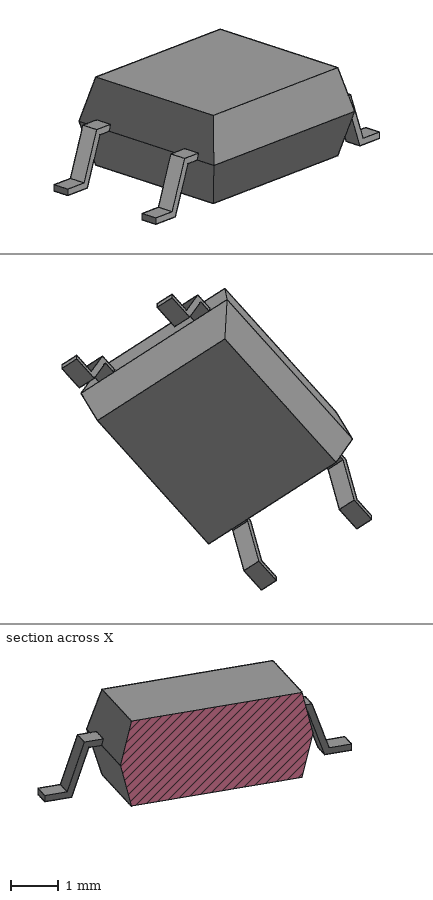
import cadquery as cq
import math

lead_span = 7.0
body_width = 3.9
body_length = 4.4
body_height = 2.0
standoff = 0.1
draft_inset = 0.25

lead_width = 0.4
lead_pitch = 2.54
lead_thickness = 0.15
foot_length = 0.51
shoulder_y = 2.6
lead_root_y = body_length / 2 - draft_inset

half_height = body_height / 2
parting_z = standoff + half_height
draft_angle = math.degrees(math.atan(draft_inset / half_height))


def body_half(direction):
    """Tapered half of the body, going up (1) or down (-1) from the parting line."""
    return (
        cq.Workplane("XY", origin=(0, 0, parting_z))
        .rect(body_width, body_length)
        .extrude(direction * half_height, taper=draft_angle)
    )


def lead(x_center):
    """Bent lead on the +Y side, with constant thickness through both bends."""
    tip_y = lead_span / 2
    shoulder_z = parting_z + lead_thickness
    ankle_y = tip_y - foot_length
    slope_angle = math.atan2(shoulder_z - lead_thickness, ankle_y - shoulder_y)
    bend_shift = lead_thickness * math.tan(slope_angle / 2)
    profile = [
        (lead_root_y, shoulder_z),
        (shoulder_y, shoulder_z),
        (ankle_y, lead_thickness),
        (tip_y, lead_thickness),
        (tip_y, 0),
        (ankle_y - bend_shift, 0),
        (shoulder_y - bend_shift, parting_z),
        (lead_root_y, parting_z),
    ]
    return (
        cq.Workplane("YZ", origin=(x_center - lead_width / 2, 0, 0))
        .polyline(profile)
        .close()
        .extrude(lead_width)
    )


result = body_half(1).union(body_half(-1))
for x_center in (-lead_pitch / 2, lead_pitch / 2):
    side_lead = lead(x_center)
    result = result.union(side_lead).union(side_lead.mirror("XZ"))